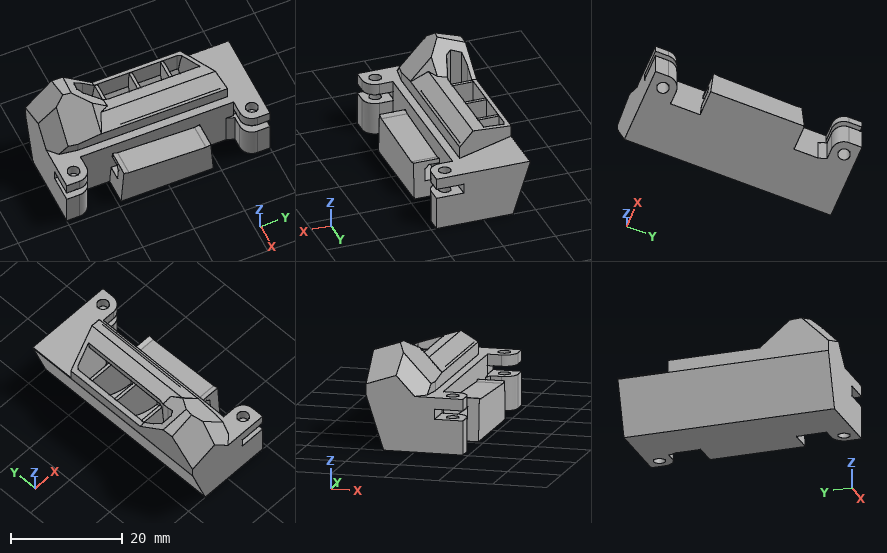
import cadquery as cq

width = 18.0
length = 40.0
deck_z = 10.3
lean_top = 10.05
lean_run = 3.3
far = 80.0

recess_x = 13.05
ear_length = 4.95
ear_radius = 2.4
hole_x = 15.5
hole_inset = 2.5
ear_hole = 2.25
foot_hole = 2.2
slot_x = 12.75
slot_bottom = 6.3
slot_top = 8.15
web_x = 0.5
web_y = 1.5

block_top_start, block_top_end = 11.25, 28.35
block_foot_start, block_foot_end = 10.7, 28.85
block_top_z = 7.9
block_drop = 0.7
rim_width = 1.0
rim_depth = 0.3
plate_thickness = 0.9
leg_x = 15.85
leg_chamfer = 0.75
groove_floor = 4.0

hump_x = 11.5
hump_back_left = 30.45
hump_back_right = 34.55
hump_nose_x = 10.7
hump_nose_y = 5.2

left_wall_z = 12.4
ridge_x = 8.5
ridge_z = 14.75
rear_edge_z = 12.6
peak_x, peak_y, peak_z = 5.0, 5.1, 18.85
peak_slope = 0.34
peak_dip = 0.05
front_slope = 1.0
nose_x, nose_z = 5.55, 14.0
nose_slope = 1.19
fall_slope = 1.06
valley_y = 13.1
valley_slope = 0.81
valley_rise = 0.24
corner_x, corner_y = 7.5, 9.75

window_left, window_right = 1.0, 5.8
cavity_right = 11.0
lid_bottom = 12.75
cavity_end = 33.4
end_wall_z = 14.0
end_slope_x = -3.7
end_slope_y = 11.0
floor_x, floor_z = 12.5, 14.15
floor_radius = 12.7
rib_top = 12.55
rib_thickness = 0.6
ribs = [(26.1, 0.0, 0.1), (19.9, 0.027, 0.0), (13.15, 0.15, 0.0)]
window_end = 31.7
corner_start_y = 29.4
corner_mid = (1.15, 29.75)
corner_end = (1.75, 30.25)
near_end = [(window_right, 13.8), (5.55, 12.85), (4.9, 11.0), (4.45, 9.4), (3.35, 8.6), (1.35, 8.9)]
left_side_start = 10.8


def prism_y(points, start, end):
    """Extrude an XZ outline along Y."""
    return cq.Workplane("XZ", origin=(0, start, 0)).polyline(points).close().extrude(start - end)


def prism_x(points, start, end):
    """Extrude a YZ outline along X."""
    return cq.Workplane("YZ", origin=(start, 0, 0)).polyline(points).close().extrude(end - start)


def prism_z(points, start, end):
    """Extrude an XY outline along Z."""
    return cq.Workplane("XY", origin=(0, 0, start)).polyline(points).close().extrude(end - start)


def box(x, y, z):
    """Box from (min, max) pairs."""
    size = (x[1] - x[0], y[1] - y[0], z[1] - z[0])
    return cq.Workplane("XY").box(*size, centered=False).translate((x[0], y[0], z[0]))


def above(point, slope_x, slope_y):
    """Everything above the plane through a point with the given rises along X and Y."""
    plane = cq.Plane(origin=point, xDir=(1, 0, slope_x), normal=(-slope_x, -slope_y, 1))
    return cq.Workplane(plane).rect(2 * far, 2 * far).extrude(far)


def make_base():
    """Base with the leaning side, two slotted and drilled ears and the corner web."""
    side = [(lean_run, 0), (width, 0), (width, deck_z), (0, deck_z), (0, lean_top)]
    base = prism_y(side, 0, length)
    base = base.cut(box((recess_x, width), (ear_length, length - ear_length), (0, deck_z)))
    ear_zone = cq.selectors.BoxSelector(
        (recess_x + ear_radius, ear_length / 2, 0),
        (width + ear_radius, length - ear_length / 2, deck_z),
    )
    base = base.edges(ear_zone).edges("|Z").fillet(ear_radius)
    for y, ear_start in ((hole_inset, 0), (length - hole_inset, length - ear_length)):
        base = base.cut(box((slot_x, width), (ear_start, ear_start + ear_length), (slot_bottom, slot_top)))
        for start, end, diameter in ((0, slot_bottom, foot_hole), (slot_top, deck_z, ear_hole)):
            hole = cq.Workplane("XY", origin=(hole_x, y, start)).circle(diameter / 2).extrude(end - start)
            base = base.cut(hole)
    web_start = length - ear_length
    web = [(recess_x, web_start), (recess_x + web_x, web_start), (recess_x, web_start - web_y)]
    return base.union(prism_z(web, 0, slot_bottom))


def make_block():
    """Tilted block standing in the recess between the ears."""
    tilt = -block_drop / (block_top_end - block_top_start)

    def tilted_z(y):
        return block_top_z + tilt * (y - block_top_start)

    floor_start = block_top_start + rim_width
    floor_end = block_top_end - rim_width
    outline = [
        (block_foot_start, 0),
        (block_top_start, block_top_z),
        (floor_start, tilted_z(floor_start) - rim_depth),
        (floor_end, tilted_z(floor_end) - rim_depth),
        (block_top_end, tilted_z(block_top_end)),
        (block_foot_end, 0),
    ]
    block = prism_x(outline, recess_x, width)
    under_z = block_top_z - plate_thickness
    under = [
        (recess_x, groove_floor),
        (leg_x, groove_floor),
        (leg_x, under_z - leg_chamfer),
        (leg_x - leg_chamfer, under_z),
        (recess_x, under_z),
    ]
    tool = cq.Workplane(cq.Plane((0, block_top_start, 0), xDir=(1, 0, 0), normal=(0, -1, -tilt)))
    return block.cut(tool.polyline(under).close().extrude(far, both=True))


def make_hump():
    """Low deck running into a faceted peak."""
    plan = [
        (0, 0), (hump_nose_x, 0), (hump_x, hump_nose_y), (hump_x, hump_back_right), (0, hump_back_left),
    ]
    left_rise = (ridge_z - left_wall_z) / ridge_x
    right_rise = (rear_edge_z - ridge_z) / (hump_x - ridge_x)
    low = prism_z(plan, deck_z, far).cut(box((0, width), (0, corner_y), (0, 2 * far)))
    low = low.cut(above((0, 0, left_wall_z), left_rise, 0))
    low = low.cut(above((ridge_x, 0, ridge_z), right_rise, 0))

    corner_z = left_wall_z + valley_slope * (valley_y - corner_y) + valley_rise * corner_x
    corner = (corner_x, corner_y, corner_z)
    peak_point = (peak_x, peak_y, peak_z)
    fall_y = (corner_z - peak_z + fall_slope * (corner_x - peak_x)) / (corner_y - peak_y)
    peak = prism_z(plan, deck_z, far)
    peak = peak.cut(above(peak_point, peak_slope, -peak_dip))
    peak = peak.cut(above(peak_point, peak_slope, front_slope))
    peak = peak.cut(above((nose_x, 0, nose_z), -fall_slope, nose_slope))
    peak = peak.cut(above(peak_point, -fall_slope, fall_y))
    peak = peak.cut(above(corner, valley_rise, -valley_slope))
    peak = peak.cut(above(corner, -fall_slope, -valley_slope))
    return low.union(peak)


def make_cavity():
    """Space under the window, with the ribs left standing."""
    under_start = ribs[-1][0] + rib_thickness
    window = cq.Workplane("XY").moveTo(window_left, corner_start_y)
    window = window.threePointArc(corner_mid, corner_end).lineTo(window_right, window_end)
    for point in near_end:
        window = window.lineTo(*point)
    cavity = window.lineTo(window_left, left_side_start).close().extrude(far)
    cavity = cavity.union(box((window_right, cavity_right), (under_start, cavity_end), (0, lid_bottom)))
    cavity = cavity.intersect(above((window_right, window_end, end_wall_z), end_slope_x, end_slope_y))
    floor = cq.Workplane("XZ").center(floor_x, floor_z).circle(floor_radius).extrude(-length)
    cavity = cavity.intersect(floor)
    for front, front_splay, rear_splay in ribs:
        rear = front + rib_thickness
        rib = [
            (front, rib_top),
            (rear, rib_top),
            (rear + rear_splay * rib_top, 0),
            (front - front_splay * rib_top, 0),
        ]
        cavity = cavity.cut(prism_x(rib, 0, width))
    return cavity


result = make_base().union(make_block()).union(make_hump()).cut(make_cavity())